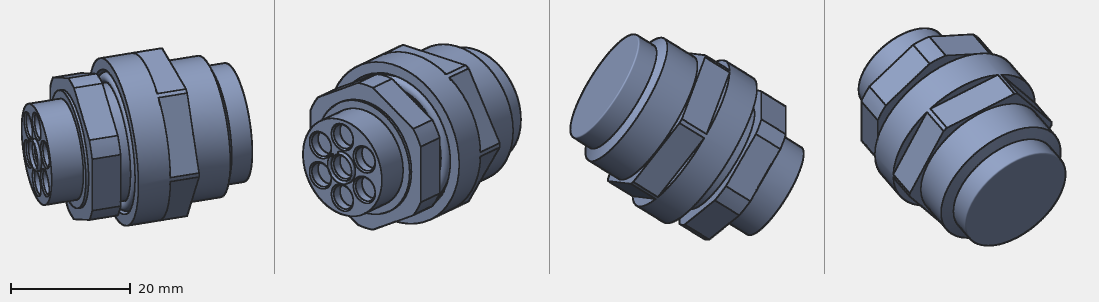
import cadquery as cq
import math

length = 35.3
flat_count = 6

insert_face_y = 0.6
insert_diameter = 17.2

neck_front_y = 6.15
neck_diameter = 20.0

nut_front_y = 6.65
nut_width = 4.98
nut_across_flats = 24.0
nut_corner_diameter = 26.05

flange_front_y = 14.05
flange_rear_y = 19.63
flange_diameter = 28.4
hex_width = 5.0
hex_across_flats = 25.0

sleeve_diameter = 24.0
sleeve_rear_y = 30.78
rear_collar_front_y = 31.63
rear_collar_diameter = 20.2
rear_edge_fillet = 0.25

seal_cord_radius = 0.92
seal_overhang = 0.32
seal_overlap = 0.05
groove_depth = 1.27
groove_mouth_diameter = 24.57
groove_floor_diameter = 23.8

chamber_count = 6
chamber_circle_radius = 5.5
chamber_diameter = 4.2
chamber_mouth_diameter = 4.75
chamber_floor_y = 2.5
centre_sleeve_diameter = 5.65
centre_sleeve_rim_fillet = 0.2
sleeve_gap_start_angle = 102
sleeve_gap_end_angle = 138


def section(start_y):
    """Workplane across the axis at start_y, extruding towards +Y."""
    return cq.Workplane("XZ", origin=(0, start_y, 0))


def cylinder(diameter, start_y, end_y):
    return section(start_y).circle(diameter / 2).extrude(start_y - end_y)


def cone(start_diameter, end_diameter, start_y, end_y):
    """Solid frustum along Y between two diameters."""
    profile = [
        (0, start_y),
        (start_diameter / 2, start_y),
        (end_diameter / 2, end_y),
        (0, end_y),
    ]
    return cq.Workplane("XY").polyline(profile).close().revolve(360, (0, 0, 0), (0, 1, 0))


def rounded_hexagon(across_flats, corner_diameter, start_y, width, turn):
    """Hexagonal prism whose corners are turned down to corner_diameter."""
    across_corners = across_flats / math.cos(math.pi / flat_count)
    prism = section(start_y).polygon(flat_count, across_corners).extrude(-width)
    prism = prism.rotate((0, 0, 0), (0, 1, 0), turn)
    return prism.intersect(cylinder(corner_diameter, start_y, start_y + width))


def make_body():
    """Insert, neck, nut, flange, hexagon and rear sleeve in one piece."""
    hex_rear_y = flange_rear_y + hex_width
    body = cylinder(insert_diameter, insert_face_y, flange_rear_y)
    body = body.union(cylinder(neck_diameter, neck_front_y, flange_rear_y))
    nut_turn = 180 / flat_count
    body = body.union(
        rounded_hexagon(nut_across_flats, nut_corner_diameter, nut_front_y, nut_width, nut_turn)
    )
    body = body.union(cylinder(flange_diameter, flange_front_y, flange_rear_y))
    body = body.union(
        rounded_hexagon(hex_across_flats, flange_diameter, flange_rear_y, hex_width, 0)
    )
    body = body.union(cylinder(sleeve_diameter, hex_rear_y, sleeve_rear_y))
    body = body.union(
        cone(sleeve_diameter, rear_collar_diameter, sleeve_rear_y, rear_collar_front_y)
    )
    rear_collar = cylinder(rear_collar_diameter, rear_collar_front_y, length)
    return body.union(rear_collar.faces(">Y").fillet(rear_edge_fillet))


def make_groove():
    """Ring-shaped groove around the neck, narrowing away from the flange face."""
    floor_y = flange_front_y + groove_depth
    taper = cone(groove_mouth_diameter, groove_floor_diameter, flange_front_y, floor_y)
    return taper.cut(cylinder(neck_diameter, flange_front_y, floor_y))


def make_seal():
    """Round-section seal ring sitting on the neck and standing proud of the flange."""
    ring_radius = neck_diameter / 2 + seal_cord_radius - seal_overlap
    ring_y = flange_front_y - seal_overhang + seal_cord_radius
    cord = cq.Workplane("XY").center(ring_radius, ring_y).circle(seal_cord_radius)
    return cord.revolve(360, (-ring_radius, 0, 0), (-ring_radius, 1, 0))


def make_chamber():
    """Blind contact chamber on the axis with a 45 degree lead-in at the insert face."""
    lead_in_end_y = insert_face_y + (chamber_mouth_diameter - chamber_diameter) / 2
    lead_in = cone(chamber_mouth_diameter, chamber_diameter, insert_face_y, lead_in_end_y)
    return lead_in.union(cylinder(chamber_diameter, insert_face_y, chamber_floor_y))


def make_sleeve_gap():
    """Triangular wedge from the axis that reaches past the sleeve wall."""
    reach = centre_sleeve_diameter
    corners = [(0, 0)]
    for angle in (sleeve_gap_start_angle, sleeve_gap_end_angle):
        turn = math.radians(angle)
        corners.append((reach * math.cos(turn), reach * math.sin(turn)))
    return section(0).polyline(corners).close().extrude(-insert_face_y)


def make_centre_sleeve():
    """Thin raised ring around the centre chamber with a rounded rim and one gap."""
    sleeve = cylinder(centre_sleeve_diameter, 0, insert_face_y)
    sleeve = sleeve.cut(cylinder(chamber_mouth_diameter, 0, insert_face_y))
    sleeve = sleeve.faces("<Y").edges().fillet(centre_sleeve_rim_fillet)
    return sleeve.cut(make_sleeve_gap())


result = make_body().cut(make_groove()).union(make_seal()).union(make_centre_sleeve())

chamber = make_chamber()
result = result.cut(chamber)
for index in range(chamber_count):
    turn = index * 360 / chamber_count
    outer_chamber = chamber.translate((0, 0, chamber_circle_radius))
    result = result.cut(outer_chamber.rotate((0, 0, 0), (0, 1, 0), turn))